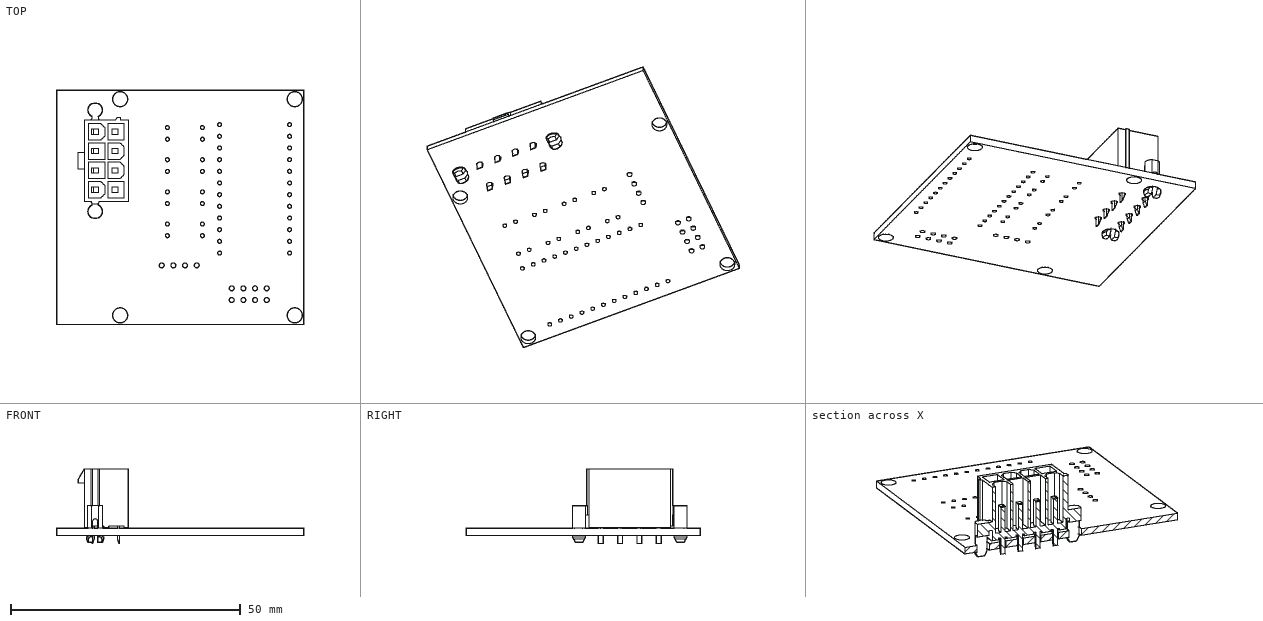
import cadquery as cq


board_length = 53.8
board_width = 51.0
board_thickness = 1.6
mount_hole_diameter = 3.2
mount_margin = 2.0
mount_spacing_x = 37.95
small_hole_diameter = 0.8
large_hole_diameter = 1.0

module_rows = 12
module_span = 27.9
grid_pitch = module_span / (module_rows - 1)
module_x = 35.45
module_y = 15.55
module_column_gap = 6 * grid_pitch

pair_x = 24.1
pair_y = 19.3
pair_column_gap = 3 * grid_pitch
pair_pitch = 7.0
pair_count = 4

strip_x = 22.85
strip_y = 12.85
block_x = 38.1
block_y = 5.3
block_rows = 2
holes_per_row = 4

center_x = 10.8
center_y = 35.6
housing_length_x = 9.55
housing_length_y = 17.8
housing_top = 12.9
housing_bottom = 0.1
cell_pitch = 4.2
cell_size = 3.55
cell_chamfer = 0.85
cell_floor = 2.15
rows = 4
columns = (-1, 1)
keyed_rows = {-1: (0, 3), 1: (1, 2)}

latch_width = 3.55
latch_reach = 1.35
latch_height = 3.1
latch_lip = 0.8

channel_top = 0.45
center_foot_width = 1.15
side_foot_width = 0.95
notch_width = 1.95
notch_depth = 2.15
notch_top = 0.8

rib_reach = 0.5
rib_base_width = 1.85
rib_tip_width = 1.25
key_rib_x = 12.85
key_rib_base_width = 1.0
key_rib_chamfer = 0.3
key_rib_bottom = 0.45

peg_x = 8.4
peg_offset_y = 11.0
peg_diameter = 3.2
peg_neck_diameter = 3.0
peg_barb_diameter = 3.75
peg_tip_diameter = 3.2
peg_top = 4.9
peg_barb_top = -1.95
peg_barb_bottom = -2.35
peg_bottom = -3.1
peg_flat_distance = 1.425
peg_tip_half_width = 0.8
peg_slot_width = 1.1
peg_slot_top = 2.05
web_width = 1.45
web_bottom = 2.85

pin_width = 1.15
pin_top = 8.05
left_blade_start_x = 7.6
left_blade_end_x = 9.15
left_blade_chamfer = 0.5
left_blade_chamfer_height = 0.75
right_blade_start_x = 12.05
right_blade_end_x = 13.4
tail_thickness = 0.5
tail_spacing = 5.5
tail_center_x = 10.7
tail_bottom = housing_top - 16.3
tail_taper_height = 1.0
tail_tip_thickness = 0.1
pin_hole_diameter = 1.4

row_ys = [center_y + (row - (rows - 1) / 2) * cell_pitch for row in range(rows)]
tail_xs = {side: tail_center_x + side * tail_spacing / 2 for side in columns}
peg_ys = {side: center_y + side * peg_offset_y for side in (-1, 1)}


def box(x0, x1, y0, y1, z0, z1):
    """A box between two opposite corners."""
    return cq.Workplane("XY").box(x1 - x0, y1 - y0, z1 - z0, centered=False).translate((x0, y0, z0))


def prism_along_y(points, y_middle, width):
    """An XZ outline extruded along Y, centred on y_middle."""
    return cq.Workplane("XZ", origin=(0, y_middle, 0)).polyline(points).close().extrude(width / 2, both=True)


def prism_along_z(points, z0, z1):
    """An XY outline extruded from z0 to z1."""
    return cq.Workplane("XY", origin=(0, 0, z0)).polyline(points).close().extrude(z1 - z0)


def grid(x, y, x_count, y_count, x_step=grid_pitch, y_step=grid_pitch):
    """Points of a rectangular grid whose lower left point is (x, y)."""
    return [(x + i * x_step, y + j * y_step) for i in range(x_count) for j in range(y_count)]


def make_board():
    """The board with its mounting, lead, pin and peg holes."""
    mount_x = board_length - mount_margin - mount_spacing_x
    mount_spacing_y = board_width - 2 * mount_margin
    module_holes = grid(module_x, module_y, 2, module_rows, x_step=module_column_gap)
    pair_holes = []
    for pair in range(pair_count):
        pair_holes += grid(pair_x, pair_y + pair * pair_pitch, 2, 2, x_step=pair_column_gap)
    strip = grid(strip_x, strip_y, holes_per_row, 1)
    block = grid(block_x, block_y, holes_per_row, block_rows)

    holes = [
        (mount_hole_diameter, grid(mount_x, mount_margin, 2, 2, mount_spacing_x, mount_spacing_y)),
        (small_hole_diameter, module_holes + pair_holes),
        (large_hole_diameter, strip + block),
        (pin_hole_diameter, [(x, y) for x in tail_xs.values() for y in row_ys]),
        (peg_neck_diameter, [(peg_x, y) for y in peg_ys.values()]),
    ]
    body = box(0, board_length, 0, board_width, -board_thickness, 0)
    for diameter, points in holes:
        drills = cq.Workplane("XY").pushPoints(points).circle(diameter / 2).extrude(-board_thickness)
        body = body.cut(drills)
    return body


def make_cell(side, row):
    """The space of one contact cell; keyed cells have chamfered +X corners."""
    x = center_x + side * cell_pitch / 2
    depth = housing_top - cell_floor
    cell = cq.Workplane("XY", origin=(x, row_ys[row], cell_floor)).rect(cell_size, cell_size).extrude(depth)
    if row in keyed_rows[side]:
        cell = cell.edges("|Z and >X").chamfer(cell_chamfer)
    return cell


def make_latch():
    """The wedge that locks the mating plug, on the -X wall."""
    wall_x = center_x - housing_length_x / 2
    tip_x = wall_x - latch_reach
    latch_bottom = housing_top - latch_height
    outline = [
        (wall_x, housing_top),
        (tip_x, latch_bottom + latch_lip),
        (tip_x, latch_bottom),
        (wall_x, latch_bottom),
    ]
    return prism_along_y(outline, center_y, latch_width)


def cut_underside(body):
    """Clear a channel under each pin column and a notch in the -X wall in front of each tail."""
    x0 = center_x - housing_length_x / 2
    x1 = center_x + housing_length_x / 2
    y0 = center_y - housing_length_y / 2
    y1 = center_y + housing_length_y / 2
    foot = center_foot_width / 2
    body = body.cut(box(x0 + side_foot_width, center_x - foot, y0, y1, housing_bottom, channel_top))
    body = body.cut(box(center_x + foot, x1 - side_foot_width, y0, y1, housing_bottom, channel_top))
    for y in row_ys:
        notch_y0 = y - notch_width / 2
        notch_y1 = y + notch_width / 2
        body = body.cut(box(x0, x0 + notch_depth, notch_y0, notch_y1, housing_bottom, notch_top))
    return body


def make_dovetail(side, z0, z1):
    """A tapered rib in line with a peg, on the -Y (side -1) or +Y (side 1) wall."""
    wall_y = center_y + side * housing_length_y / 2
    tip_y = wall_y + side * rib_reach
    outline = [
        (peg_x - rib_base_width / 2, wall_y),
        (peg_x - rib_tip_width / 2, tip_y),
        (peg_x + rib_tip_width / 2, tip_y),
        (peg_x + rib_base_width / 2, wall_y),
    ]
    return prism_along_z(outline, z0, z1)


def make_key_rib():
    """The half-chamfered rib on the +Y wall."""
    wall_y = center_y + housing_length_y / 2
    tip_y = wall_y + rib_reach
    end_x = key_rib_x + key_rib_base_width
    outline = [(key_rib_x, wall_y), (key_rib_x + key_rib_chamfer, tip_y), (end_x, tip_y), (end_x, wall_y)]
    return prism_along_z(outline, key_rib_bottom, housing_top)


def make_peg(side):
    """A split, barbed board peg with flats on its Y sides."""
    peg = (
        cq.Workplane("XZ")
        .moveTo(0, peg_top)
        .lineTo(peg_diameter / 2, peg_top)
        .lineTo(peg_diameter / 2, 0)
        .lineTo(peg_neck_diameter / 2, 0)
        .lineTo(peg_neck_diameter / 2, -board_thickness)
        .lineTo(peg_barb_diameter / 2, peg_barb_top)
        .lineTo(peg_barb_diameter / 2, peg_barb_bottom)
        .lineTo(peg_tip_diameter / 2, peg_bottom)
        .lineTo(0, peg_bottom)
        .close()
        .revolve(360, (0, 0, 0), (0, 1, 0))
    )
    side_outline = [
        (-peg_flat_distance, peg_top),
        (peg_flat_distance, peg_top),
        (peg_flat_distance, peg_barb_top),
        (peg_tip_half_width, peg_bottom),
        (-peg_tip_half_width, peg_bottom),
        (-peg_flat_distance, peg_barb_top),
    ]
    envelope = cq.Workplane("YZ").polyline(side_outline).close().extrude(peg_barb_diameter, both=True)
    half_slot = peg_slot_width / 2
    slot = (
        cq.Workplane("XZ")
        .moveTo(-half_slot, peg_bottom)
        .lineTo(-half_slot, peg_slot_top - half_slot)
        .threePointArc((0, peg_slot_top), (half_slot, peg_slot_top - half_slot))
        .lineTo(half_slot, peg_bottom)
        .close()
        .extrude(peg_diameter, both=True)
    )
    return peg.intersect(envelope).cut(slot).translate((peg_x, peg_ys[side], 0))


def make_web(side):
    """The flared web that joins a peg to the housing."""
    wall_y = center_y + side * housing_length_y / 2
    y0, y1 = sorted((wall_y, peg_ys[side]))
    web = box(peg_x - web_width / 2, peg_x + web_width / 2, y0, y1, web_bottom, peg_top)
    return web.union(make_dovetail(side, web_bottom, peg_top))


def make_pin(side, y):
    """A contact blade inside its cell, and its tapered solder tail under the cell floor."""
    if side < 0:
        blade_outline = [
            (left_blade_start_x, cell_floor),
            (left_blade_end_x, cell_floor),
            (left_blade_end_x, pin_top),
            (left_blade_start_x + left_blade_chamfer, pin_top),
            (left_blade_start_x, pin_top - left_blade_chamfer_height),
        ]
        blade = prism_along_y(blade_outline, y, pin_width)
    else:
        y0 = y - pin_width / 2
        blade = box(right_blade_start_x, right_blade_end_x, y0, y0 + pin_width, cell_floor, pin_top)

    inner_x = tail_xs[side] - side * tail_thickness / 2
    outer_x = tail_xs[side] + side * tail_thickness / 2
    tail_outline = [
        (inner_x, cell_floor),
        (outer_x, cell_floor),
        (outer_x, tail_bottom),
        (outer_x - side * tail_tip_thickness, tail_bottom),
        (inner_x, tail_bottom + tail_taper_height),
    ]
    return blade.union(prism_along_y(tail_outline, y, pin_width))


def make_connector():
    """The housing with its cells, latch, ribs, pegs and pins as one solid."""
    body = box(
        center_x - housing_length_x / 2,
        center_x + housing_length_x / 2,
        center_y - housing_length_y / 2,
        center_y + housing_length_y / 2,
        housing_bottom,
        housing_top,
    )
    body = cut_underside(body)
    for side in columns:
        for row in range(rows):
            body = body.cut(make_cell(side, row))
    body = body.union(make_latch()).union(make_key_rib())
    body = body.union(make_dovetail(-1, peg_top, housing_top))
    for side in peg_ys:
        body = body.union(make_web(side)).union(make_peg(side))
    for side in columns:
        for y in row_ys:
            body = body.union(make_pin(side, y))
    return body


board = make_board()
connector = make_connector()

result = cq.Compound.makeCompound([board.solids().val(), connector.solids().val()])